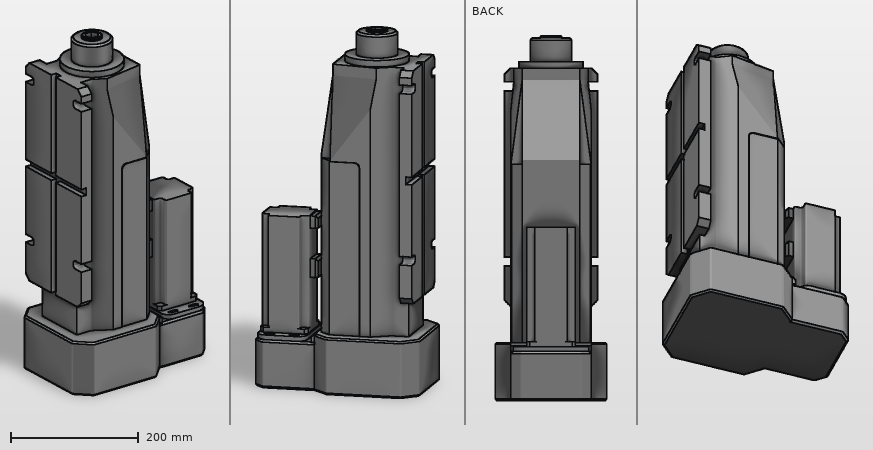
import cadquery as cq
import math

MARGIN = 6.0

BASE_HALF_X = 87.5
BASE_HALF_Y = 85.0
BASE_CORNER = 24.5
BASE_HEIGHT = 91.0
DRIVE_HALF_X = BASE_HALF_X - BASE_CORNER
DRIVE_BACK_Y = 185.0
DRIVE_CORNER = 15.5
DRIVE_HEIGHT = 77.0
DRIVE_EDGE = 3.5
BASE_STEP_Y = 90.5
BASE_EDGE = 3.0
STEP_EDGE = 4.5
BASE_CORNER_ROUND = 5.0

COLUMN_TOP = 521.0
COLUMN_HALF_X = 63.0
COLUMN_BACK_Y = 78.5
COLUMN_SHOULDER_Y = 60.0
COLUMN_BACK_HALF_X = 45.0
COLUMN_WAIST_Y = -5.0
COLUMN_NECK_Y = -35.0
COLUMN_FRONT_Y = -63.0
NECK_ROUND = 7.0

LEDGE_Z = 370.0
BACK_SLOPE_START_Z = 377.5
SLOPE_END_Z = 503.0
SIDE_CUT_LEAN = 0.175

RECESS_DEPTH = 1.0
RECESS_FRONT_Y = 12.5
RECESS_TOP = 368.5
RECESS_ROUND = 8.5

PLATE_HALF_X = 73.0
PLATE_BACK_Y = -55.0
PLATE_FRONT_Y = -75.0
PLATE_BOTTOM = 148.0
PLATE_CORNER = 10.0
KEYWAY_WIDTH = 12.0
KEYWAY_DEPTH = 10.0
CROSS_KEYWAY_Z = 346.5
NOTCH_WIDTH = 14.0
NOTCH_DEPTH = 22.0
NOTCH_HEIGHTS = (218.0, 492.5)

COLLAR_RADIUS = 50.5
COLLAR_TOP = 531.5
RAM_RADIUS = 32.5
RAM_BOTTOM = COLUMN_TOP
RAM_TOP = 568.5
RAM_CHAMFER = 3.5
TIP_RADIUS = 16.5
TIP_TOP = 572.0
TIP_CHAMFER = 2.0
SOCKET_FLATS = 20.0
SOCKET_DEPTH = 17.0

MOTOR_Y = 141.0
MOTOR_SIDE = 76.5
MOTOR_TOP = 271.5
FLANGE_WIDTH = 119.0
FLANGE_LENGTH = 79.5
FLANGE_ROUND = 15.5
FLANGE_THICKNESS = 7.5
SLOT_X = 50.0
SLOT_PITCH_Y = 40.0
SLOT_LENGTH = 16.5
SLOT_WIDTH = 6.0
GROOVE_BOTTOM = 92.5
GROOVE_SIZE = 13.0
GROOVE_ROUND = 5.0
GROOVE_EDGE_ROUND = 2.5
MOTOR_CORNER = 5.0
CONNECTOR_WIDTH = 39.5
CONNECTOR_DEPTH = 12.0
CONNECTOR_CHAMFER = 4.0
CONNECTOR_SPANS = ((172.0, 202.0), (251.0, 270.5))


def box_between(x0, x1, y0, y1, z0, z1):
    """Box given by its limits along each axis."""
    return cq.Workplane("XY").box(x1 - x0, y1 - y0, z1 - z0, centered=False).translate((x0, y0, z0))


def make_base():
    """Octagonal casing with a lower extension under the motor, bevelled and rounded outside."""
    octagon = (
        cq.Workplane("XY")
        .rect(2 * BASE_HALF_X, 2 * BASE_HALF_Y)
        .extrude(BASE_HEIGHT)
        .edges("|Z")
        .chamfer(BASE_CORNER)
        .edges("|Z")
        .edges("<X or >X or <Y")
        .fillet(BASE_CORNER_ROUND)
        .faces("<Z or >Z")
        .edges()
        .chamfer(BASE_EDGE)
    )
    step = box_between(-DRIVE_HALF_X, DRIVE_HALF_X, 0, BASE_STEP_Y, DRIVE_HEIGHT, BASE_HEIGHT)
    step = step.edges(">Y and >Z").chamfer(STEP_EDGE)
    behind_step = cq.selectors.BoxSelector(
        (-BASE_HALF_X, BASE_STEP_Y, 0),
        (BASE_HALF_X, DRIVE_BACK_Y + MARGIN, BASE_HEIGHT),
    )
    drive = (
        box_between(-DRIVE_HALF_X, DRIVE_HALF_X, 0, DRIVE_BACK_Y, 0, DRIVE_HEIGHT)
        .edges("|Z and >Y")
        .chamfer(DRIVE_CORNER)
        .edges("|Z")
        .edges(behind_step)
        .fillet(BASE_CORNER_ROUND)
        .faces("<Z or >Z")
        .edges()
        .chamfer(DRIVE_EDGE)
    )
    return octagon.union(step).union(drive)


def make_column():
    """Upright column with a narrowed front and a tapered upper part."""
    right_side = [
        (COLUMN_BACK_HALF_X, COLUMN_FRONT_Y),
        (COLUMN_BACK_HALF_X, COLUMN_NECK_Y),
        (COLUMN_HALF_X, COLUMN_WAIST_Y),
        (COLUMN_HALF_X, COLUMN_SHOULDER_Y),
        (COLUMN_BACK_HALF_X, COLUMN_BACK_Y),
    ]
    left_side = [(-x, y) for x, y in reversed(right_side)]
    column = (
        cq.Workplane("XY")
        .workplane(offset=BASE_HEIGHT)
        .polyline(right_side + left_side)
        .close()
        .extrude(COLUMN_TOP - BASE_HEIGHT)
    )
    neck_edges = cq.selectors.BoxSelector(
        (-COLUMN_HALF_X, COLUMN_NECK_Y - MARGIN, BASE_HEIGHT),
        (COLUMN_HALF_X, COLUMN_NECK_Y + MARGIN, COLUMN_TOP),
    )
    column = column.edges(neck_edges).edges("|Z").fillet(NECK_ROUND)
    column = column.cut(back_slope_cutter())
    for side in (-1, 1):
        column = column.cut(side_taper_cutter(side))
        column = column.cut(ledge_cutter(side))
        column = column.cut(recess_cutter(side))
    return column


def back_slope_cutter():
    """Removes the back above the slope, leaving the top flush with the shoulders."""
    return (
        cq.Workplane("YZ")
        .moveTo(COLUMN_BACK_Y, BACK_SLOPE_START_Z)
        .lineTo(COLUMN_SHOULDER_Y, SLOPE_END_Z)
        .lineTo(COLUMN_SHOULDER_Y, COLUMN_TOP + MARGIN)
        .lineTo(COLUMN_BACK_Y + MARGIN, COLUMN_TOP + MARGIN)
        .lineTo(COLUMN_BACK_Y + MARGIN, BACK_SLOPE_START_Z)
        .close()
        .extrude(COLUMN_HALF_X, both=True)
    )


def side_taper_cutter(side):
    """Removes one upper flank: upright at the top, sloping out to the full width at the ledge."""
    outward = cq.Vector(side, SIDE_CUT_LEAN, 0).normalized()
    run = (COLUMN_HALF_X - COLUMN_BACK_HALF_X) / math.hypot(1, SIDE_CUT_LEAN)
    plane = cq.Plane(
        origin=(side * COLUMN_BACK_HALF_X, COLUMN_SHOULDER_Y, 0),
        xDir=outward,
        normal=outward.cross(cq.Vector(0, 0, 1)),
    )
    return (
        cq.Workplane(plane)
        .moveTo(0, COLUMN_TOP + MARGIN)
        .lineTo(0, SLOPE_END_Z)
        .lineTo(run, LEDGE_Z)
        .lineTo(run + MARGIN, LEDGE_Z)
        .lineTo(run + MARGIN, COLUMN_TOP + MARGIN)
        .close()
        .extrude(2 * COLUMN_HALF_X, both=True)
    )


def ledge_cutter(side):
    """Removes the bevelled back corner above the ledge."""
    inner = side * COLUMN_BACK_HALF_X
    outer = side * (COLUMN_HALF_X + MARGIN)
    return box_between(
        min(inner, outer),
        max(inner, outer),
        COLUMN_SHOULDER_Y,
        COLUMN_BACK_Y + MARGIN,
        LEDGE_Z,
        COLUMN_TOP + MARGIN,
    )


def recess_cutter(side):
    """Shallow side recess, open at the back, with one rounded upper corner."""
    inner = side * (COLUMN_HALF_X - RECESS_DEPTH)
    outer = side * (COLUMN_HALF_X + MARGIN)
    recess = box_between(
        min(inner, outer),
        max(inner, outer),
        RECESS_FRONT_Y,
        COLUMN_BACK_Y,
        BASE_HEIGHT,
        RECESS_TOP,
    )
    return recess.edges("|X and <Y and >Z").fillet(RECESS_ROUND)


def make_plate():
    """Mounting plate with four open-ended notches."""
    plate = box_between(
        -PLATE_HALF_X, PLATE_HALF_X, PLATE_FRONT_Y, PLATE_BACK_Y, PLATE_BOTTOM, COLUMN_TOP
    )
    plate = plate.edges("|Y").chamfer(PLATE_CORNER)
    for side in (-1, 1):
        for height in NOTCH_HEIGHTS:
            plate = plate.cut(notch_cutter(side, height))
    return plate


def notch_cutter(side, height):
    """Round-ended notch running in from one long edge of the plate."""
    notch_length = 2 * NOTCH_DEPTH
    thickness = PLATE_BACK_Y - PLATE_FRONT_Y
    return (
        cq.Workplane("XZ", origin=(side * PLATE_HALF_X, PLATE_BACK_Y, height))
        .slot2D(notch_length, NOTCH_WIDTH)
        .extrude(thickness)
    )


def keyway_cutter():
    """One keyway along Z and one along X in the front of the plate."""
    half = KEYWAY_WIDTH / 2
    floor_y = PLATE_FRONT_Y + KEYWAY_DEPTH
    upright = box_between(-half, half, PLATE_FRONT_Y, floor_y, PLATE_BOTTOM, COLUMN_TOP)
    cross = box_between(
        -PLATE_HALF_X,
        PLATE_HALF_X,
        PLATE_FRONT_Y,
        floor_y,
        CROSS_KEYWAY_Z - half,
        CROSS_KEYWAY_Z + half,
    )
    return upright.union(cross)


def cylinder_between(radius, bottom, top):
    """Cylinder on the ram axis."""
    return cq.Workplane("XY").workplane(offset=bottom).circle(radius).extrude(top - bottom)


def make_collar():
    """Collar around the ram, on top of the column."""
    return cylinder_between(COLLAR_RADIUS, COLUMN_TOP, COLLAR_TOP)


def ram_bore_cutter():
    """Bore through the collar that the ram sits in."""
    return cylinder_between(RAM_RADIUS, RAM_BOTTOM, COLLAR_TOP)


def make_flange():
    """Rounded motor flange with four slots."""
    half_pitch = SLOT_PITCH_Y / 2
    slots = [(x, y) for x in (-SLOT_X, SLOT_X) for y in (-half_pitch, half_pitch)]
    return (
        cq.Workplane("XY", origin=(0, MOTOR_Y, DRIVE_HEIGHT))
        .rect(FLANGE_WIDTH, FLANGE_LENGTH)
        .extrude(FLANGE_THICKNESS)
        .edges("|Z")
        .fillet(FLANGE_ROUND)
        .faces(">Z")
        .workplane()
        .pushPoints(slots)
        .slot2D(SLOT_LENGTH, SLOT_WIDTH, angle=90)
        .cutThruAll()
    )


def make_motor_frame():
    """Square frame with a groove along each corner above the foot."""
    foot_bottom = DRIVE_HEIGHT + FLANGE_THICKNESS
    foot = (
        cq.Workplane("XY", origin=(0, MOTOR_Y, foot_bottom))
        .rect(MOTOR_SIDE, MOTOR_SIDE)
        .extrude(GROOVE_BOTTOM - foot_bottom)
        .edges("|Z")
        .chamfer(MOTOR_CORNER)
    )
    wide = MOTOR_SIDE / 2
    narrow = wide - GROOVE_SIZE
    height = MOTOR_TOP - GROOVE_BOTTOM
    start = cq.Workplane("XY", origin=(0, MOTOR_Y, GROOVE_BOTTOM))
    bar = start.rect(2 * wide, 2 * narrow).extrude(height).edges("|Z").fillet(GROOVE_EDGE_ROUND)
    cross_bar = bar.rotate((0, MOTOR_Y, 0), (0, MOTOR_Y, 1), 90)
    inner_corners = cq.selectors.BoxSelector(
        (-narrow - GROOVE_EDGE_ROUND, MOTOR_Y - narrow - GROOVE_EDGE_ROUND, GROOVE_BOTTOM),
        (narrow + GROOVE_EDGE_ROUND, MOTOR_Y + narrow + GROOVE_EDGE_ROUND, MOTOR_TOP),
    )
    frame = bar.union(cross_bar).edges(inner_corners).edges("|Z").fillet(GROOVE_ROUND)
    return foot.union(frame)


def make_connector(bottom, top):
    """Connector block on the side of the motor that faces the column."""
    motor_face_y = MOTOR_Y - MOTOR_SIDE / 2
    half = CONNECTOR_WIDTH / 2
    block = box_between(-half, half, motor_face_y - CONNECTOR_DEPTH, motor_face_y, bottom, top)
    return block.faces("<Y").edges("|Z or >Z").chamfer(CONNECTOR_CHAMFER)


def make_motor():
    """Flange, grooved frame and connectors."""
    motor = make_flange().union(make_motor_frame())
    for bottom, top in CONNECTOR_SPANS:
        motor = motor.union(make_connector(bottom, top))
    return motor


def make_housing():
    """Base, column, mounting plate, collar and motor in one body."""
    return (
        make_base()
        .union(make_column())
        .union(make_plate())
        .union(make_collar())
        .union(make_motor())
        .cut(keyway_cutter())
        .cut(ram_bore_cutter())
    )


def make_ram():
    """Chamfered ram and its tip with a hexagon socket, whose corners point along Y."""
    rod = cylinder_between(RAM_RADIUS, RAM_BOTTOM, RAM_TOP).faces(">Z").chamfer(RAM_CHAMFER)
    tip = cylinder_between(TIP_RADIUS, RAM_TOP, TIP_TOP).faces(">Z").chamfer(TIP_CHAMFER)
    socket = (
        cq.Workplane("XY")
        .workplane(offset=TIP_TOP - SOCKET_DEPTH)
        .polygon(6, SOCKET_FLATS, circumscribed=True)
        .extrude(SOCKET_DEPTH)
    )
    return rod.union(tip).cut(socket)


housing = make_housing()
ram = make_ram()

result = cq.Compound.makeCompound([housing.val(), ram.val()])